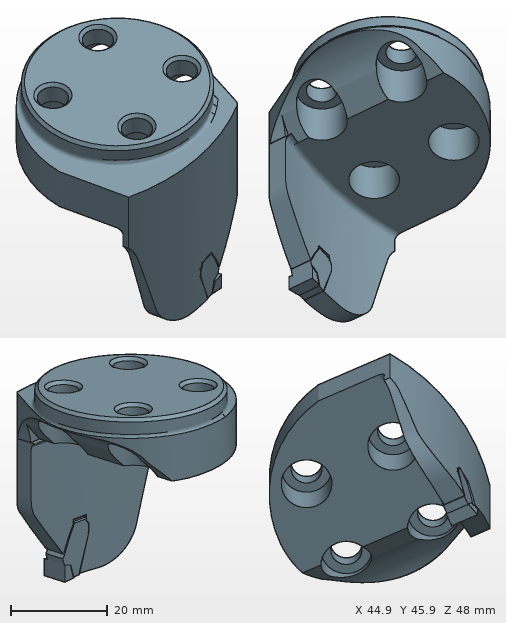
import cadquery as cq
import math


disc_diameter = 40.0
disc_radius = disc_diameter / 2
disc_height = 4.35
disc_chamfer = 0.7
flare_size = 0.9

flange_thickness = 10.0
flange_radius = 20.35
front_y = -25.5
front_left_x = 0.0
front_right_x = 16.3
outer_x = 24.1
side_slope = math.radians(30)
corner_x = 23.0
corner_fillet = 1.45

hole_diameter = 6.5
hole_chamfer = 0.7
hole_offset = 9.9
counterbore_diameter = 10.5
counterbore_top_z = -0.5

leg_back_y = 10.5
leg_bottom_z = -43.05
inner_crest_x = 19.2
inner_front_x = 15.0
leg_root_fillet = 1.5
leg_corner_radius = 10.0
leg_back_fillet = 6.5
cove_radius = 11.5
bevel_start_y = 7.65
bevel_size = 5.75

insert_inner_x = 18.85
insert_outer_x = 23.7
insert_top_z = -31.15
insert_top_right_y = -6.75
insert_top_left_y = -3.05
insert_chamfer = 0.3
tooth_inner_x = 18.65
tooth_outer_x = 24.55
tooth_relief_x = 23.8
tooth_front_y = -2.7
tooth_back_y = 0.1
insert_bottom_z = disc_height - 48.0
pocket_top_z = -30.5
pocket_wall_depth = 0.95

far = 57.6


def crest_circle(crest_x, end_x, end_y):
    """Centre and radius of the circle with its crest at (crest_x, 0) through (end_x, end_y)."""
    drop = crest_x - end_x
    radius = (end_y**2 + drop**2) / (2 * drop)
    return crest_x - radius, radius


def point_on(circle, y):
    """Point of the +X side of a circle centred on the X axis."""
    centre_x, radius = circle
    return (centre_x + math.sqrt(radius**2 - y**2), y)


outer_circle = crest_circle(outer_x, front_right_x, front_y)
inner_circle = crest_circle(inner_crest_x, inner_front_x, front_y)


def yz_prism(points, x_start, x_end):
    """Prism along X with an outline given in (Y, Z)."""
    outline = cq.Workplane("YZ", origin=(x_start, 0, 0)).polyline(points).close()
    return outline.extrude(x_end - x_start)


def outline_prism(z_bottom, z_top):
    """Flange outline extruded between two heights."""
    tangent_x = flange_radius * math.sin(side_slope)
    tangent_y = flange_radius * math.cos(side_slope)
    corner_y = tangent_y - (corner_x - tangent_x) * math.tan(side_slope)
    span = flange_radius + front_left_x
    left_radius = (span**2 + front_y**2) / (2 * span)
    left_centre_x = left_radius - flange_radius
    left_mid_y = front_y / 2
    left_mid_x = left_centre_x - math.sqrt(left_radius**2 - left_mid_y**2)
    diagonal = flange_radius * math.sqrt(0.5)
    prism = (
        cq.Workplane("XY", origin=(0, 0, z_bottom))
        .moveTo(front_left_x, front_y)
        .lineTo(front_right_x, front_y)
        .threePointArc((outer_x, 0), point_on(outer_circle, corner_y))
        .lineTo(tangent_x, tangent_y)
        .threePointArc((-diagonal, diagonal), (-flange_radius, 0))
        .threePointArc((left_mid_x, left_mid_y), (front_left_x, front_y))
        .close()
        .extrude(z_top - z_bottom)
    )
    corner = cq.selectors.NearestToPointSelector((*point_on(outer_circle, corner_y), (z_bottom + z_top) / 2))
    return prism.edges(corner).fillet(corner_fillet)


def make_disc():
    """Chamfered mounting disc with a concave flare, trimmed to the flange outline."""
    flare_mid = flare_size * (1 - math.sqrt(0.5))
    disc = (
        cq.Workplane("XZ")
        .lineTo(disc_radius + flare_size, 0)
        .threePointArc((disc_radius + flare_mid, flare_mid), (disc_radius, flare_size))
        .lineTo(disc_radius, disc_height - disc_chamfer)
        .lineTo(disc_radius - disc_chamfer, disc_height)
        .lineTo(0, disc_height)
        .close()
        .revolve(360, (0, 0, 0), (0, 1, 0))
    )
    return disc.intersect(outline_prism(0, disc_height))


def leg_profile():
    """Side profile of flange and leg, extruded across the whole part."""
    slant_top = (-23.7, -18.5)
    slant_bottom_y = -17.85
    notch_top_z = -14.65
    back_bend_z = -25.1
    back_foot_z = -37.55
    back_bottom_y = -4.6
    profile = (
        cq.Workplane("YZ", origin=(-far, 0, 0))
        .moveTo(slant_bottom_y, leg_bottom_z)
        .lineTo(*slant_top)
        .tangentArcPoint((front_y, notch_top_z), relative=False)
        .lineTo(front_y, 0)
        .lineTo(leg_back_y, 0)
        .lineTo(leg_back_y, back_bend_z)
        .lineTo(0, back_foot_z)
        .lineTo(back_bottom_y, leg_bottom_z)
        .close()
        .extrude(2 * far)
    )
    bottom_corner = cq.selectors.NearestToPointSelector((0, slant_bottom_y, leg_bottom_z))
    back_corner = cq.selectors.NearestToPointSelector((0, leg_back_y, back_bend_z))
    return profile.edges(bottom_corner).fillet(leg_corner_radius).edges(back_corner).fillet(leg_back_fillet)


def inner_clearance():
    """Space on the -X side of the leg, rounded along its top edge."""
    centre_x, radius = inner_circle
    space = (
        cq.Workplane("XY", origin=(centre_x, 0, -flange_thickness))
        .circle(radius)
        .extrude(-far)
    )
    return space.faces(">Z").edges().fillet(leg_root_fillet)


def flange_cove():
    """Concave relief under the back of the flange, with a bevel on the -X side of the leg."""
    cove_y = leg_back_y + cove_radius
    cove_z = -flange_thickness - leg_root_fillet
    cove = cq.Workplane("YZ", origin=(-far, cove_y, cove_z)).circle(cove_radius).extrude(2 * far)
    bevel = yz_prism(
        [
            (bevel_start_y, -flange_thickness),
            (bevel_start_y + bevel_size, bevel_size - flange_thickness),
            (bevel_start_y + bevel_size, -flange_thickness),
        ],
        -far,
        far,
    )
    centre_x, radius = inner_circle
    leg_side = cq.Workplane("XY", origin=(centre_x, 0, -far)).circle(radius).extrude(2 * far)
    return cove.union(bevel.intersect(leg_side))


def insert_outline(top_z):
    """(Y, Z) outline of the insert with its top at the given height."""
    return [
        (insert_top_left_y, top_z),
        (insert_top_left_y, -31.45),
        (-1.4, -34.55),
        (0, -37.75),
        (0.5, -38.4),
        (tooth_back_y, -39.8),
        (tooth_back_y, insert_bottom_z),
        (-4.6, -43.2),
        (-7.4, -34.7),
        (-7.4, -32.6),
        (insert_top_right_y, -31.9),
        (insert_top_right_y, top_z),
    ]


def make_insert():
    """Cutting insert: flat blade with a raised tooth at its tip."""
    blade = yz_prism(insert_outline(insert_top_z), insert_inner_x, insert_outer_x)
    blade = blade.faces(">Z").edges("<X").chamfer(insert_chamfer)
    tooth = yz_prism(
        [(tooth_back_y, -39.8), (-1.8, -40.35), (tooth_front_y, -43.4), (tooth_back_y, insert_bottom_z)],
        tooth_inner_x,
        tooth_outer_x,
    )
    relieved_plan = (
        cq.Workplane("XY", origin=(0, 0, insert_bottom_z))
        .moveTo(tooth_inner_x, tooth_back_y)
        .lineTo(tooth_outer_x, tooth_back_y)
        .lineTo(tooth_relief_x, tooth_front_y)
        .lineTo(tooth_inner_x, tooth_front_y)
        .close()
        .extrude(far)
    )
    return blade.union(tooth.intersect(relieved_plan))


def insert_pocket():
    """Through seat for the insert, with a sloped wall above it on the inner side."""
    seat = yz_prism(insert_outline(insert_top_z), 0, far)
    slope = (
        cq.Workplane("XZ", origin=(0, insert_top_left_y, 0))
        .polyline(
            [
                (insert_inner_x - pocket_wall_depth, pocket_top_z),
                (insert_inner_x, pocket_top_z),
                (insert_inner_x + pocket_wall_depth, insert_top_z),
                (insert_inner_x - pocket_wall_depth, insert_top_z),
            ]
        )
        .close()
        .extrude(insert_top_left_y - insert_top_right_y)
    )
    return seat.union(slope)


def screw_hole(x, y):
    """Through hole tool with an entry chamfer at the disc top and a counterbore from below."""
    drill = cq.Workplane("XY", origin=(x, y, -far)).circle(hole_diameter / 2).extrude(2 * far)
    entry_radius = hole_diameter / 2 + hole_chamfer
    entry = (
        cq.Workplane("XY", origin=(x, y, disc_height))
        .circle(entry_radius)
        .workplane(offset=-hole_chamfer)
        .circle(hole_diameter / 2)
        .loft()
    )
    counterbore = (
        cq.Workplane("XY", origin=(x, y, counterbore_top_z))
        .circle(counterbore_diameter / 2)
        .extrude(-flange_thickness)
    )
    return drill.union(entry).union(counterbore)


def make_holder():
    """Flange, mounting disc and leg as one solid."""
    flange = outline_prism(-flange_thickness, 0)
    leg = outline_prism(leg_bottom_z, 0).intersect(leg_profile()).cut(inner_clearance())
    holder = flange.union(leg).cut(flange_cove()).union(make_disc())
    for x in (-hole_offset, hole_offset):
        for y in (-hole_offset, hole_offset):
            holder = holder.cut(screw_hole(x, y))
    return holder.cut(insert_pocket())


holder = make_holder()
insert = make_insert()
result = cq.Compound.makeCompound([holder.val(), insert.val()])